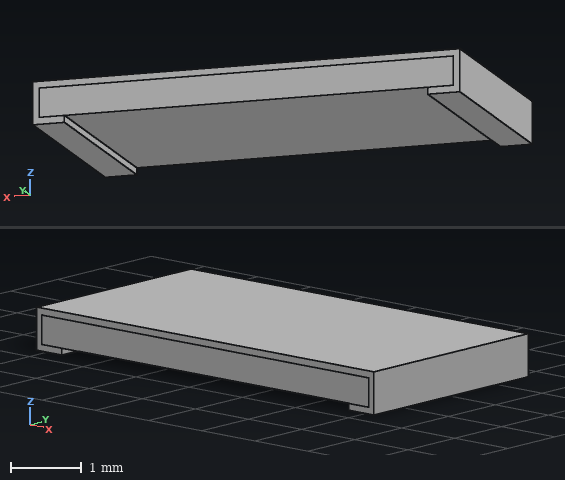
import cadquery as cq

length = 6.35
width = 3.3
height = 0.63

wall = 0.1
foot_length = 0.475

core_length = length - 2 * wall
core_height = height - 2 * wall


def block(size_x, size_z, bottom):
    """Full-width block centred on X and Y, standing on the given Z level."""
    return (
        cq.Workplane("XY")
        .workplane(offset=bottom)
        .box(size_x, width, size_z, centered=(True, True, False))
    )


def make_core():
    """Plain rectangular core."""
    return block(core_length, core_height, wall)


def make_shell():
    """C-shaped shell over the top and ends, with feet folded under the core."""
    foot_gap = length - 2 * foot_length
    core_space = block(core_length, core_height, wall)
    bottom_opening = block(foot_gap, wall, 0)
    return block(length, height, 0).cut(core_space).cut(bottom_opening)


core = make_core()
shell = make_shell()

result = cq.Compound.makeCompound([core.val(), shell.val()])